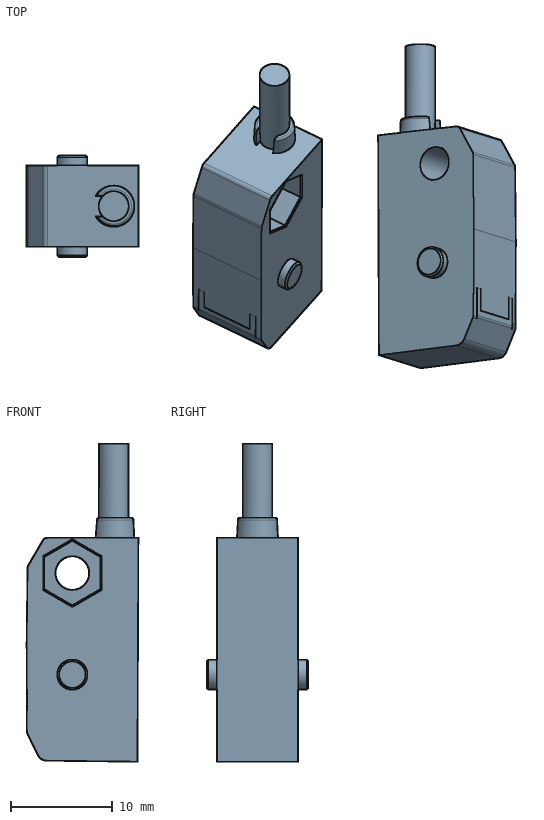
import cadquery as cq
import math

body_width = 8.05
body_top = 22.1
top_right_x = 11.05
bottom_right_x = 10.95

crease_z = 11.62
upper_left_x = 0.1
upper_left_z = 19.25
top_left_x = 1.75
lower_left_x = 0.053
lower_left_z = 2.83
bottom_left_x = 1.38
bottom_left_z = 0.11

corner_radius = 0.5
bottom_corner_radius = 1.0

rib_width = 6.72
rib_arm = 0.7
rib_top_z = 5.8
rib_window_z = 3.6
rib_rise = 0.05
rib_root_x = 0.63

hole_x = 4.52
hole_z = 18.63
hole_diameter = 3.3
nut_flats = 5.53
nut_depth = 2.5
nut_chamfer = 0.13

pin_z = 8.6
pin_diameter = 2.98
pin_length = 10.05
pin_chamfer = 0.2

cable_x = 8.6
cable_diameter = 2.95
cable_top = 31.4
collar_height = 1.98
collar_base_diameter = 4.08
collar_top_diameter = 3.9
collar_round = 0.22
slot_base_width = 1.95
slot_top_width = 2.1


def extrude_across(points, width):
    """Extrude a closed XZ outline symmetrically about the plane y = 0."""
    return cq.Workplane("XZ").polyline(points).close().extrude(width / 2, both=True)


def cross_edge(x, z):
    """Select the edge that runs along Y through (x, z)."""
    return cq.NearestToPointSelector((x, 0, z))


def make_housing():
    housing = extrude_across(
        [
            (bottom_right_x, 0),
            (top_right_x, body_top),
            (top_left_x, body_top),
            (upper_left_x, upper_left_z),
            (0, crease_z),
            (lower_left_x, lower_left_z),
            (bottom_left_x, bottom_left_z),
        ],
        body_width,
    )
    for x, z in [(top_left_x, body_top), (upper_left_x, upper_left_z), (lower_left_x, lower_left_z)]:
        housing = housing.edges(cross_edge(x, z)).fillet(corner_radius)
    return housing.edges(cross_edge(bottom_left_x, bottom_left_z)).fillet(bottom_corner_radius)


def make_rib():
    bevel_slope = (lower_left_z - bottom_left_z) / (bottom_left_x - lower_left_x)
    face_slope = lower_left_x / (crease_z - lower_left_z)
    flush_x = face_slope * (crease_z - rib_top_z)
    raised_x = lower_left_x - rib_rise
    raised_z = lower_left_z + rib_rise * bevel_slope
    root_z = lower_left_z - (rib_root_x - lower_left_x) * bevel_slope
    rib = extrude_across(
        [(flush_x, rib_top_z), (raised_x, raised_z), (rib_root_x, root_z), (rib_root_x, rib_top_z)],
        rib_width,
    )
    rib = rib.edges(cross_edge(raised_x, raised_z)).fillet(corner_radius)
    window = (
        cq.Workplane("XY")
        .box(2 * rib_root_x, rib_width - 2 * rib_arm, rib_top_z, centered=(True, True, False))
        .translate((0, 0, rib_window_z))
    )
    return rib.cut(window)


def hexagon(flats, y):
    """Hexagon around the mounting hole, with a corner pointing up."""
    corner_distance = flats / math.sqrt(3)
    corners = [
        (
            hole_x + corner_distance * math.sin(math.radians(60 * i)),
            hole_z + corner_distance * math.cos(math.radians(60 * i)),
        )
        for i in range(6)
    ]
    return cq.Workplane("XZ", origin=(0, y, 0)).polyline(corners).close()


def make_nut_pocket():
    front_y = -body_width / 2
    pocket = hexagon(nut_flats, front_y).extrude(-nut_depth)
    lead_in = hexagon(nut_flats + 2 * nut_chamfer, front_y).extrude(-nut_chamfer, taper=45)
    return pocket.union(lead_in)


def cylinder_across(x, z, diameter, length):
    return cq.Workplane("XZ").center(x, z).circle(diameter / 2).extrude(length / 2, both=True)


def make_cable():
    return (
        cq.Workplane("XY", origin=(cable_x, 0, body_top))
        .circle(cable_diameter / 2)
        .extrude(cable_top - body_top)
    )


def make_collar():
    collar = (
        cq.Workplane("XY", origin=(cable_x, 0, body_top))
        .circle(collar_base_diameter / 2)
        .workplane(offset=collar_height)
        .circle(collar_top_diameter / 2)
        .loft()
        .faces(">Z")
        .edges()
        .fillet(collar_round)
    )
    slot = (
        cq.Workplane("YZ", origin=(cable_x, 0, body_top))
        .moveTo(-slot_base_width / 2, 0)
        .lineTo(slot_base_width / 2, 0)
        .lineTo(slot_top_width / 2, collar_height)
        .lineTo(-slot_top_width / 2, collar_height)
        .close()
        .extrude(-collar_base_diameter)
    )
    return collar.cut(slot)


mounting_hole = cylinder_across(hole_x, hole_z, hole_diameter, 2 * body_width)
pin = cylinder_across(hole_x, pin_z, pin_diameter, pin_length).faces("<Y or >Y").edges().chamfer(pin_chamfer)

result = (
    make_housing()
    .union(make_rib())
    .cut(make_nut_pocket())
    .cut(mounting_hole)
    .union(pin)
    .union(make_collar())
    .union(make_cable())
)